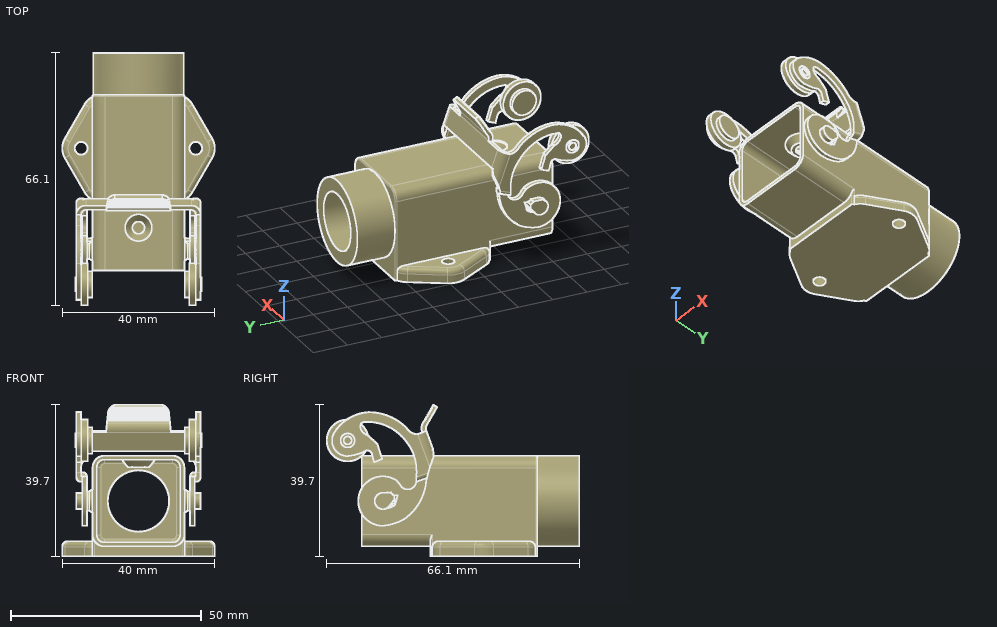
import cadquery as cq
import math

housing_length = 46.0
housing_width = 24.1
housing_bottom = 2.6
housing_top = 26.4
housing_height = housing_top - housing_bottom
housing_centre_z = (housing_top + housing_bottom) / 2
housing_corner_radius = 3.2
cavity_width = 21.8
cavity_height = 21.7
cavity_corner_radius = 2.0
cavity_floor_fillet = 1.0
rear_wall = 2.0
rear_edge_fillet = 0.4

entry_length = 11.0
entry_diameter = housing_height
entry_bore = 16.0

base_depth = 28.0
base_height = 4.0
pedestal_corner_radius = 0.5
ear_hole_x = 15.0
ear_hole_y = -base_depth / 2
ear_hole_diameter = 3.3
ear_radius = 5.0
ear_slope = math.radians(60)
ear_top_fillet = 1.5

screw_y = -34.8
screw_top_diameter = 7.0
screw_rim_depth = 0.4
screw_bottom_diameter = 3.2
boss_top_diameter = 8.8
boss_bottom_diameter = 5.6
boss_height = 2.0

pivot_y = -40.4
pivot_z = housing_centre_z
pin_radius = 2.15
pin_end_x = 16.3
collar_radius = 2.6
collar_base_radius = 3.1
collar_base_height = 0.8

sheet = 1.3
arm_outer_x = 16.3
arm_inner_x = arm_outer_x - sheet
disc_outer_x = 14.74
disc_inner_x = disc_outer_x - sheet
pivot_disc_radius = 6.5
joggle_y = -30.2
joggle_z = 20.75
joggle_radius = 1.2
joggle_front = -3.0
flat_disc_top = 5.0
lever_tilt = 20.0
bar_thickness = 1.2
bar_back = 5.27
bar_front = bar_back - bar_thickness
bar_lower = 5.7
bar_upper = 10.98
bend_radius = 2.5
window_half_width = 14.4
beyond = 40.0

tab_lean = 30.0
tab_root = 1.0
tab_rise = 0.1
tab_bend_radius = 1.64
tab_top_z = 39.7
tab_foot_half_width = 8.5
tab_top_half_width = 7.75
tab_corner_radius = 3.0
groove_count = 7
groove_pitch = 0.63
groove_radius = 0.17
first_groove = 0.9

roller_y = -49.63
roller_z = 30.35
roller_radius = 5.5
roller_inner_x = 13.27
hub_radius = 3.5
hub_inner_x = housing_width / 2
rivet_radius = 1.84
rivet_bore_radius = 1.05
rivet_end_x = 16.5
arm_end_radius = 4.1


def block(x0, x1, y0, y1, z0, z1):
    return cq.Workplane("XY").box(x1 - x0, y1 - y0, z1 - z0, centered=False).translate((x0, y0, z0))


def disc(y, z, radius, x0, x1):
    """Cylinder along X between x0 and x1."""
    return cq.Workplane("YZ", origin=(x0, y, z)).circle(radius).extrude(x1 - x0)


def mirrored(side):
    """A feature together with its mirror image across the YZ plane."""
    return side.union(side.mirror("YZ"))


def make_ears():
    """Base plate with one rounded ear on each side, its flanks tangent to the ear radius."""
    flank_x = ear_hole_x + ear_radius / math.sin(ear_slope)
    edge_x = flank_x - base_depth / 2 / math.tan(ear_slope)
    outline = [
        (-flank_x, ear_hole_y),
        (-edge_x, 0),
        (edge_x, 0),
        (flank_x, ear_hole_y),
        (edge_x, -base_depth),
        (-edge_x, -base_depth),
    ]
    plate = cq.Workplane("XY").polyline(outline).close().extrude(base_height)
    plate = plate.edges("|Z").fillet(ear_radius)
    plate = plate.faces(">Z").edges().fillet(ear_top_fillet)
    holes = cq.Workplane("XY").pushPoints([(-ear_hole_x, ear_hole_y), (ear_hole_x, ear_hole_y)])
    return plate.cut(holes.circle(ear_hole_diameter / 2).extrude(base_height))


def make_housing():
    tube = (
        cq.Workplane("XZ", origin=(0, 0, housing_centre_z))
        .rect(housing_width, housing_height)
        .extrude(housing_length)
        .edges("|Y")
        .fillet(housing_corner_radius)
    )
    half = housing_width / 2
    pedestal = block(-half, half, -base_depth, 0, 0, housing_centre_z)
    pedestal = pedestal.edges("|Z and <Y").fillet(pedestal_corner_radius)
    body = tube.union(pedestal).faces(">Y").edges("not <Z").fillet(rear_edge_fillet)
    entry = cq.Workplane("XZ", origin=(0, 0, housing_centre_z)).circle(entry_diameter / 2)
    return body.union(make_ears()).union(entry.extrude(-entry_length))


def make_cavity():
    cavity = (
        cq.Workplane("XZ", origin=(0, -rear_wall, housing_centre_z))
        .rect(cavity_width, cavity_height)
        .extrude(housing_length)
        .edges("|Y")
        .fillet(cavity_corner_radius)
        .faces(">Y")
        .edges()
        .fillet(cavity_floor_fillet)
    )
    bore = cq.Workplane("XZ", origin=(0, entry_length, housing_centre_z)).circle(entry_bore / 2)
    return cavity.union(bore.extrude(entry_length + 2 * rear_wall))


def make_screw_cone(top_z, bottom_z, top_diameter, bottom_diameter):
    return (
        cq.Workplane("XY", origin=(0, screw_y, bottom_z))
        .circle(bottom_diameter / 2)
        .workplane(offset=top_z - bottom_z)
        .circle(top_diameter / 2)
        .loft()
    )


def make_pin():
    """Pivot pin with its collar and a nose that keys the lever."""
    half = housing_width / 2
    base = (
        cq.Workplane("YZ", origin=(half, pivot_y, pivot_z))
        .circle(collar_base_radius)
        .workplane(offset=collar_base_height)
        .circle(collar_radius)
        .loft()
    )
    collar = disc(pivot_y, pivot_z, collar_radius, half, disc_inner_x)
    pin = disc(pivot_y, pivot_z, pin_radius, half, pin_end_x)
    nose = [(0, pin_radius), (2.1, pin_radius), (2.9, 1.4), (2.9, 0.2), (1.9, -1.0), (0, 0)]
    key = cq.Workplane("YZ", origin=(half, pivot_y, pivot_z)).polyline(nose).close()
    key = key.extrude(pin_end_x - half)
    return base.union(collar).union(pin).union(key)


def along_tilt(upright):
    """Turn stock built upright about the joggle to the lever's tilt and move it into place."""
    return upright.rotate((0, 0, 0), (1, 0, 0), lever_tilt).translate((0, joggle_y, joggle_z))


def tilted_point(y, z):
    """Position of a point given square to and along the tilted bar from the joggle."""
    sine = math.sin(math.radians(lever_tilt))
    cosine = math.cos(math.radians(lever_tilt))
    return (joggle_y + y * cosine - z * sine, joggle_z + y * sine + z * cosine)


def make_lever_stock():
    """Folded sheet: a U of cross bar and arms, stepping inward below to the pivot discs."""
    half_web = sheet / 2
    outside = block(-arm_outer_x, arm_outer_x, -beyond, bar_back, -half_web, beyond)
    outside = outside.edges("|Z and >Y").fillet(bend_radius)
    inside = block(-arm_inner_x, arm_inner_x, -beyond, bar_front, -beyond, beyond)
    inside = inside.edges("|Z and >Y").fillet(bend_radius - bar_thickness)
    window = block(-window_half_width, window_half_width, -beyond, bar_back, -beyond, bar_lower)
    folded = outside.edges("|Y and <Z").fillet(joggle_radius).cut(inside).cut(window)
    foot = block(disc_inner_x, arm_outer_x - joggle_radius, -beyond, beyond, -beyond, half_web)
    foot = foot.edges("|Y and <X and >Z").fillet(joggle_radius)
    foot = foot.cut(block(disc_outer_x, arm_outer_x, -beyond, beyond, -beyond, -half_web))
    clearance = block(-arm_outer_x, arm_outer_x, -beyond, joggle_front, -half_web, flat_disc_top)
    flat = block(disc_inner_x, disc_outer_x, -beyond, joggle_front, -beyond, flat_disc_top)
    stepped = folded.union(mirrored(foot)).cut(clearance)
    return along_tilt(stepped.union(mirrored(flat)))


def make_lever_outline():
    """Side shape of the lever: hooked arm above, pivot disc below."""
    return (
        cq.Workplane("YZ", origin=(-beyond, 0, 0))
        .moveTo(*tilted_point(bar_back, bar_upper))
        .lineTo(*tilted_point(bar_back - bend_radius, bar_upper))
        .threePointArc((-33.0, 32.45), (-34.2, 33.66))
        .threePointArc((-38.6, 36.65), (-44.1, 37.8))
        .threePointArc((-49.6, 36.0), (-53.2, 32.3))
        .threePointArc((roller_y - arm_end_radius, roller_z), (roller_y, roller_z - arm_end_radius))
        .threePointArc((-47.4, 26.65), (-44.9, 27.6))
        .threePointArc((-44.0, 27.6), (-43.3, 26.8))
        .lineTo(-42.7, 24.67)
        .lineTo(-40.6, 25.5)
        .lineTo(-41.8, 29.4)
        .lineTo(-44.35, 31.7)
        .threePointArc((-45.7, 32.55), (-46.3, 33.7))
        .threePointArc((-46.1, 34.7), (-45.2, 35.16))
        .threePointArc((-39.06, 33.97), (-34.2, 29.9))
        .threePointArc((-32.2, 26.2), (-31.6, 22.0))
        .lineTo(-31.7, 19.3)
        .threePointArc((-33.77, 17.53), (-36.0, 18.9))
        .lineTo(-36.86, 19.9)
        .threePointArc((pivot_y - pivot_disc_radius, pivot_z), (pivot_y, pivot_z - pivot_disc_radius))
        .threePointArc((-37.3, 8.65), (-34.65, 9.86))
        .threePointArc((-30.6, 14.5), (-29.05, 19.86))
        .lineTo(-28.2, 23.1)
        .lineTo(-27.1, 26.17)
        .lineTo(*tilted_point(bar_back, bar_lower))
        .close()
        .extrude(2 * beyond)
    )


def make_keyhole():
    """Opening beside the pivot pin that lets the lever be slipped over the pin's nose."""
    upper_side = [(0, 2.2), (2.1, 2.2), (2.6, 1.55), (3.9, 1.55)]
    lower_side = [(3.2, -0.95), (2.1, -1.65), (0.9, -1.95), (0, 0)]
    outline = upper_side + lower_side
    return cq.Workplane("YZ", origin=(-beyond, pivot_y, pivot_z)).polyline(outline).close().extrude(2 * beyond)


def make_tab():
    """Thumb tab rising from the bar and bending backward, with grooves across its front."""
    tilt = math.radians(lever_tilt)
    lean = math.radians(tab_lean)
    middle = (tilt - lean) / 2
    outer_radius = tab_bend_radius + bar_thickness
    bend_y, bend_z = tilted_point(bar_back + tab_bend_radius, bar_upper + tab_rise)

    def on_bend(radius, angle):
        return (bend_y - radius * math.cos(angle), bend_z - radius * math.sin(angle))

    back_end = on_bend(tab_bend_radius, -lean)
    front_end = on_bend(outer_radius, -lean)
    front_length = (tab_top_z - front_end[1]) / math.cos(lean)
    reach_y = front_length * math.sin(lean)
    reach_z = front_length * math.cos(lean)
    top_y = front_end[0] + reach_y
    profile = (
        cq.Workplane("YZ", origin=(-beyond, 0, 0))
        .moveTo(*tilted_point(bar_back, bar_upper - tab_root))
        .lineTo(*tilted_point(bar_back, bar_upper + tab_rise))
        .threePointArc(on_bend(tab_bend_radius, middle), back_end)
        .lineTo(back_end[0] + reach_y, back_end[1] + reach_z)
        .lineTo(top_y, tab_top_z)
        .lineTo(*front_end)
        .threePointArc(on_bend(outer_radius, middle), tilted_point(bar_front, bar_upper + tab_rise))
        .lineTo(*tilted_point(bar_front, bar_upper - tab_root))
        .close()
        .extrude(2 * beyond)
    )
    for index in range(groove_count):
        distance = first_groove + index * groove_pitch
        groove_y = top_y - distance * math.sin(lean)
        groove_z = tab_top_z - distance * math.cos(lean)
        profile = profile.cut(disc(groove_y, groove_z, groove_radius, -beyond, beyond))

    face_height = tab_root + tab_rise + (tilt + lean) * tab_bend_radius + front_length
    corners = [
        (-tab_foot_half_width, 0),
        (tab_foot_half_width, 0),
        (tab_top_half_width, face_height),
        (-tab_top_half_width, face_height),
    ]
    face = cq.Workplane("XZ", origin=(0, beyond / 2, 0)).polyline(corners).close().extrude(beyond)
    face = face.edges("|Y and >Z").fillet(tab_corner_radius)
    top_middle = (top_y + back_end[0] + reach_y) / 2
    base_y = top_middle - face_height * math.sin(lean)
    base_z = tab_top_z - face_height * math.cos(lean)
    face = face.rotate((0, 0, 0), (1, 0, 0), -tab_lean).translate((0, base_y, base_z))
    return profile.intersect(face)


def make_roller():
    hub = disc(roller_y, roller_z, hub_radius, hub_inner_x, arm_inner_x)
    wheel = disc(roller_y, roller_z, roller_radius, roller_inner_x, arm_inner_x)
    rivet = disc(roller_y, roller_z, rivet_radius, arm_inner_x, rivet_end_x)
    dimple = disc(roller_y, roller_z, rivet_bore_radius, arm_outer_x, rivet_end_x)
    return hub.union(wheel).union(rivet).cut(dimple)


ceiling_z = housing_centre_z + cavity_height / 2
boss_bottom_z = ceiling_z - boss_height
boss = make_screw_cone(ceiling_z, boss_bottom_z, boss_top_diameter, boss_bottom_diameter)
rim_z = housing_top - screw_rim_depth
rim = cq.Workplane("XY", origin=(0, screw_y, rim_z)).circle(screw_top_diameter / 2).extrude(screw_rim_depth)
countersink = make_screw_cone(rim_z, boss_bottom_z, screw_top_diameter, screw_bottom_diameter).union(rim)

housing = make_housing().cut(make_cavity()).union(boss).cut(countersink)
lever = make_lever_stock().intersect(make_lever_outline()).cut(make_keyhole())
lever = lever.union(make_tab()).union(mirrored(make_roller()))

result = housing.union(mirrored(make_pin())).union(lever)